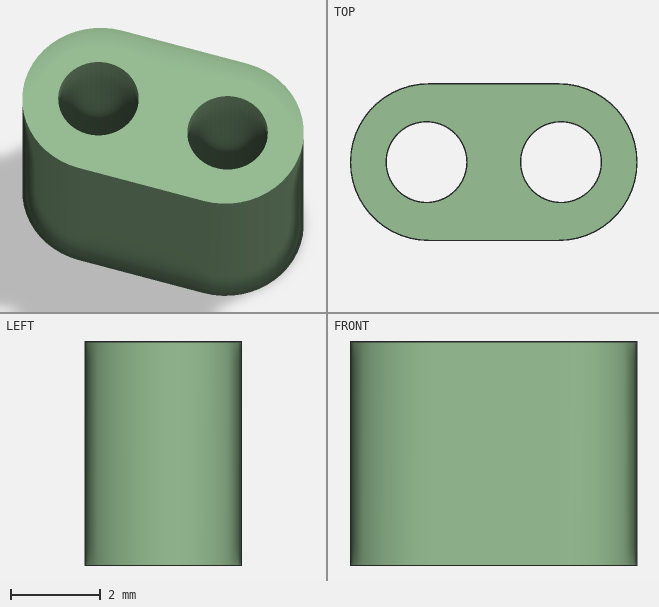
import cadquery as cq

length = 6.4
width = 3.5
height = 5.0
hole_diameter = 1.8
hole_spacing = 3.0

body = cq.Workplane("XY").slot2D(length, width).extrude(height)

hole_centers = [(-hole_spacing / 2, 0), (hole_spacing / 2, 0)]
holes = cq.Workplane("XY").pushPoints(hole_centers).circle(hole_diameter / 2).extrude(height)

result = body.cut(holes)